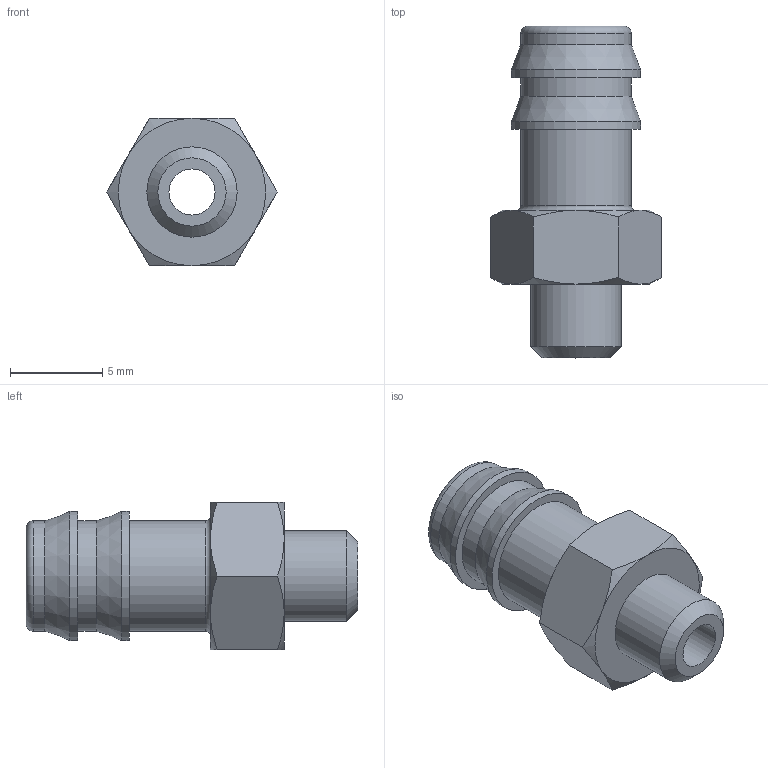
import cadquery as cq
import math

BORE_DIAMETER = 2.5

PLUG_DIAMETER = 4.9
PLUG_LENGTH = 4.0
PLUG_CHAMFER = 0.6

HEX_SIDES = 6
HEX_ACROSS_FLATS = 8.0
HEX_LENGTH = 4.0
HEX_CHAMFER_ANGLE = 30.0

STEM_DIAMETER = 6.0
STEM_LENGTH = 10.0
STEM_FILLET = 0.25
TIP_ROUND = 0.4

BARB_DIAMETER = 7.0
BARB_LAND = 0.42
BARB_TAPER = 1.36
BARB_PITCH = 2.8
FIRST_BARB_OFFSET = 4.4
BARB_COUNT = 2

HEX_START = PLUG_LENGTH
HEX_END = HEX_START + HEX_LENGTH
TOTAL_LENGTH = HEX_END + STEM_LENGTH
HEX_ACROSS_CORNERS = HEX_ACROSS_FLATS / math.cos(math.pi / HEX_SIDES)


def revolve_about_y(profile):
    """Close a profile of (radius, y) points and turn it about the Y axis."""
    return profile.close().revolve(360, (0, 0, 0), (0, 1, 0))


def cylinder(diameter, start, length):
    """Cylinder on the Y axis, from y = start towards +Y."""
    plane = cq.Workplane("XZ", origin=(0, start, 0))
    return plane.circle(diameter / 2).extrude(-length)


def make_plug():
    """Plain plug with a chamfered end."""
    return cylinder(PLUG_DIAMETER, 0, PLUG_LENGTH).faces("<Y").chamfer(PLUG_CHAMFER)


def make_hexagon():
    """Hexagon with corners on +X and -X, its corners turned off conically at both ends."""
    plane = cq.Workplane("XZ", origin=(0, HEX_START, 0))
    prism = plane.polygon(HEX_SIDES, HEX_ACROSS_CORNERS).extrude(-HEX_LENGTH)

    face_radius = HEX_ACROSS_FLATS / 2
    corner_radius = HEX_ACROSS_CORNERS / 2
    corner_drop = (corner_radius - face_radius) * math.tan(math.radians(HEX_CHAMFER_ANGLE))
    turned_profile = (
        cq.Workplane("XY")
        .moveTo(0, HEX_START)
        .lineTo(face_radius, HEX_START)
        .lineTo(corner_radius, HEX_START + corner_drop)
        .lineTo(corner_radius, HEX_END - corner_drop)
        .lineTo(face_radius, HEX_END)
        .lineTo(0, HEX_END)
    )
    return prism.intersect(revolve_about_y(turned_profile))


def make_stem():
    """Hose stem with a rounded tip and a concave fillet at the hexagon."""
    radius = STEM_DIAMETER / 2
    profile = (
        cq.Workplane("XY")
        .moveTo(0, HEX_END)
        .lineTo(radius + STEM_FILLET, HEX_END)
        .radiusArc((radius, HEX_END + STEM_FILLET), STEM_FILLET)
        .lineTo(radius, TOTAL_LENGTH - TIP_ROUND)
        .radiusArc((radius - TIP_ROUND, TOTAL_LENGTH), -TIP_ROUND)
        .lineTo(0, TOTAL_LENGTH)
    )
    return revolve_about_y(profile)


def make_barb(shoulder):
    """Barb with a square shoulder at y = shoulder, tapering to the stem towards the tip."""
    crest_end = shoulder + BARB_LAND
    profile = (
        cq.Workplane("XY")
        .moveTo(0, shoulder)
        .lineTo(BARB_DIAMETER / 2, shoulder)
        .lineTo(BARB_DIAMETER / 2, crest_end)
        .lineTo(STEM_DIAMETER / 2, crest_end + BARB_TAPER)
        .lineTo(0, crest_end + BARB_TAPER)
    )
    return revolve_about_y(profile)


body = make_plug().union(make_hexagon()).union(make_stem())
for index in range(BARB_COUNT):
    body = body.union(make_barb(HEX_END + FIRST_BARB_OFFSET + index * BARB_PITCH))

result = body.cut(cylinder(BORE_DIAMETER, 0, TOTAL_LENGTH))